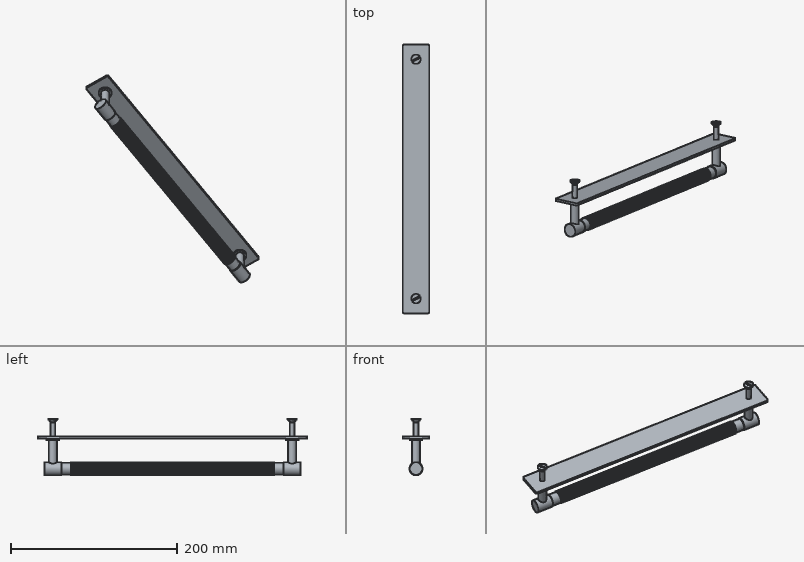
import cadquery as cq
import math


plate_length = 324.0
plate_width = 32.0
plate_thickness = 3.0
plate_corner_radius = 2.0
plate_top_z = 39.2
plate_bottom_z = plate_top_z - plate_thickness

post_spacing = 288.0
post_diameter = 10.0
flange_diameter = 15.5
flange_thickness = 2.0
head_diameter = 16.0
head_outer_reach = 10.0
head_inner_reach = 10.7
head_chamfer = 0.5

neck_diameter = 14.5
grip_length = 245.0
grip_diameter = head_diameter
grip_chamfer = 0.5
flute_count = 60
flute_depth = 0.3

overall_height = 68.5
screw_top_z = overall_height - grip_diameter / 2
screw_head_diameter = 11.5
screw_rim_height = 1.0
screw_neck_diameter = 5.0
screw_neck_end_depth = 5.2
shank_diameter = 6.0
slot_length = 13.0
slot_width = 1.5
slot_depth = 1.5
slot_angle = 26.0

post_positions = [-post_spacing / 2, post_spacing / 2]


def make_plate():
    """Flat bar with rounded corners and one screw hole above each post."""
    plate = (
        cq.Workplane("XY")
        .workplane(offset=plate_bottom_z)
        .rect(plate_width, plate_length)
        .extrude(plate_thickness)
        .edges("|Z")
        .fillet(plate_corner_radius)
    )
    return (
        plate.faces(">Z")
        .workplane(origin=(0, 0, plate_top_z))
        .pushPoints([(0, y) for y in post_positions])
        .hole(shank_diameter)
    )


def make_post(y):
    """Upright rod with a flange under the plate and a round head along Y at its foot.

    The end of the head that faces the grip bar is chamfered.
    """
    head = (
        cq.Workplane("XZ")
        .circle(head_diameter / 2)
        .extrude(-head_outer_reach - head_inner_reach)
        .faces(">Y")
        .chamfer(head_chamfer)
        .translate((0, -head_outer_reach, 0))
    )
    if y > 0:
        head = head.rotate((0, 0, 0), (0, 0, 1), 180)
    head = head.translate((0, y, 0))
    rod = cq.Workplane("XY", origin=(0, y, 0)).circle(post_diameter / 2).extrude(plate_bottom_z)
    flange = (
        cq.Workplane("XY", origin=(0, y, plate_bottom_z - flange_thickness))
        .circle(flange_diameter / 2)
        .extrude(flange_thickness)
    )
    return head.union(rod).union(flange)


def make_grip_bar():
    """Round bar between the heads, with straight flutes along its thicker middle."""
    bar_length = post_spacing - 2 * head_inner_reach
    crest_radius = grip_diameter / 2
    root_radius = crest_radius - flute_depth

    envelope_clearance = 0.3

    flute_points = []
    for corner in range(2 * flute_count):
        radius = root_radius if corner % 2 else crest_radius
        angle = math.pi * corner / flute_count
        flute_points.append((radius * math.cos(angle), radius * math.sin(angle)))
    grip = cq.Workplane("XZ").polyline(flute_points).close().extrude(grip_length / 2, both=True)
    chamfered_envelope = (
        cq.Workplane("XZ")
        .circle(crest_radius + envelope_clearance)
        .extrude(grip_length / 2, both=True)
        .edges()
        .chamfer(envelope_clearance + grip_chamfer)
    )
    necks = cq.Workplane("XZ").circle(neck_diameter / 2).extrude(bar_length / 2, both=True)
    return grip.intersect(chamfered_envelope).union(necks)


def make_screw(y):
    """Slotted countersunk screw with an undercut neck; its tip rests on the flange of a post."""
    rim_radius = screw_head_diameter / 2
    neck_radius = screw_neck_diameter / 2
    shank_radius = shank_diameter / 2
    rim_z = screw_top_z - screw_rim_height
    cone_end_z = rim_z - (rim_radius - neck_radius)
    neck_end_z = screw_top_z - screw_neck_end_depth
    screw = (
        cq.Workplane("XZ")
        .moveTo(0, screw_top_z)
        .lineTo(rim_radius, screw_top_z)
        .lineTo(rim_radius, rim_z)
        .lineTo(neck_radius, cone_end_z)
        .lineTo(neck_radius, neck_end_z)
        .lineTo(shank_radius, neck_end_z)
        .lineTo(shank_radius, plate_bottom_z)
        .lineTo(0, plate_bottom_z)
        .close()
        .revolve(360, (0, 0, 0), (0, 1, 0))
    )
    slot = (
        cq.Workplane("XY")
        .box(slot_length, slot_width, slot_depth, centered=(True, True, False))
        .rotate((0, 0, 0), (0, 0, 1), slot_angle)
        .translate((0, 0, screw_top_z - slot_depth))
    )
    return screw.cut(slot).translate((0, y, 0))


plate = make_plate()
grip_bar = make_grip_bar()
posts = [make_post(y) for y in post_positions]
screws = [make_screw(y) for y in post_positions]

result = cq.Compound.makeCompound(
    [
        plate.val(),
        grip_bar.val(),
        *[post.val() for post in posts],
        *[screw.val() for screw in screws],
    ]
)